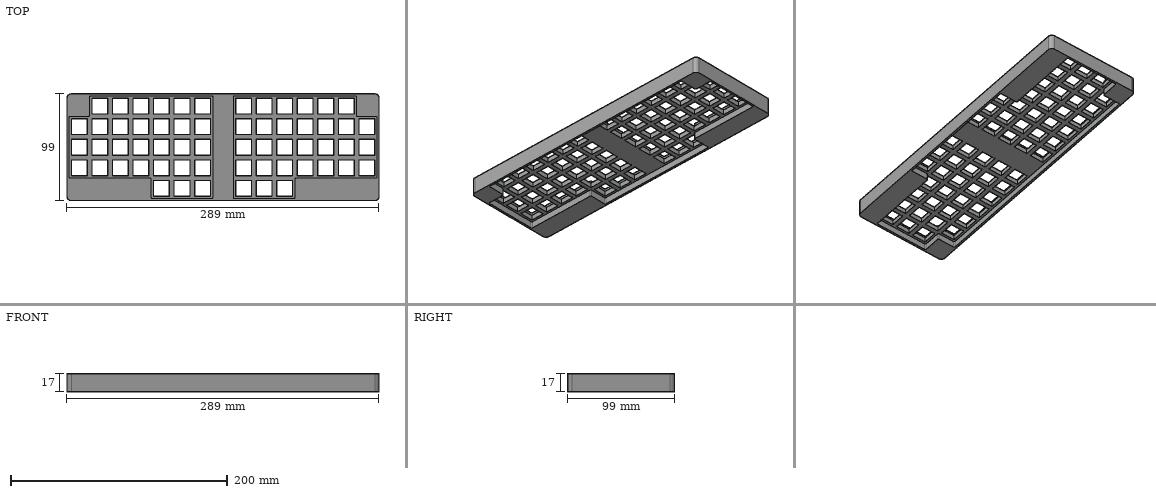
import cadquery as cq

case_length = 289.0
case_height = 17.0
case_corner_radius = 4.0
wall = 2.0
pocket_corner_radius = 1.0
pocket_depth = 5.0
plate_thickness = 5.2
key_web = 4.5

columns = [(1, 3), (1, 4), (1, 4), (1, 4), (0, 4), (0, 4), (0, 4)]
row_count = 5
divider_columns = 1

column_count = len(columns)
pitch = (case_length - 2 * wall) / (2 * column_count + divider_columns)
case_width = row_count * pitch + 2 * wall
plate_top = case_height - pocket_depth
plate_bottom = plate_top - plate_thickness
key_hole = pitch - key_web
half_left = -case_length / 2 + wall
bridge_overlap = pitch / 2
rows_bottom = -case_width / 2 + wall


def key_field():
    """Stepped outline of the left key field, extruded through the full case height."""
    def corner(column, row):
        return (half_left + column * pitch, rows_bottom + row * pitch)

    bottom_step = sum(low > 0 for low, high in columns)
    top_step = sum(high < row_count - 1 for low, high in columns)
    outline = [
        corner(0, 1),
        corner(bottom_step, 1),
        corner(bottom_step, 0),
        corner(column_count, 0),
        corner(column_count, row_count),
        corner(top_step, row_count),
        corner(top_step, row_count - 1),
        corner(0, row_count - 1),
    ]
    field = cq.Workplane("XY").polyline(outline).close().extrude(case_height)
    return field.edges("|Z").fillet(pocket_corner_radius)


def key_holes():
    """Square switch holes of the left half, one per key."""
    hole_centers = [
        (half_left + (column + 0.5) * pitch, rows_bottom + (row + 0.5) * pitch)
        for column, (low, high) in enumerate(columns)
        for row in range(low, high + 1)
    ]
    return (
        cq.Workplane("XY")
        .pushPoints(hole_centers)
        .rect(key_hole, key_hole)
        .extrude(case_height)
    )


def box_between(length, width, bottom, top):
    """Box centered on the Z axis that spans the given heights."""
    return (
        cq.Workplane("XY")
        .workplane(offset=bottom)
        .rect(length, width)
        .extrude(top - bottom)
    )


case = box_between(case_length, case_width, 0, case_height)
case = case.edges("|Z").fillet(case_corner_radius)

plate = box_between(case_length, case_width, plate_bottom, plate_top)
left_opening = key_field().cut(plate).union(key_holes())

divider_width = divider_columns * pitch
cavity_bridge = box_between(
    divider_width + 2 * bridge_overlap, row_count * pitch, 0, plate_bottom
)

result = case.cut(left_opening).cut(left_opening.mirror("YZ")).cut(cavity_bridge)